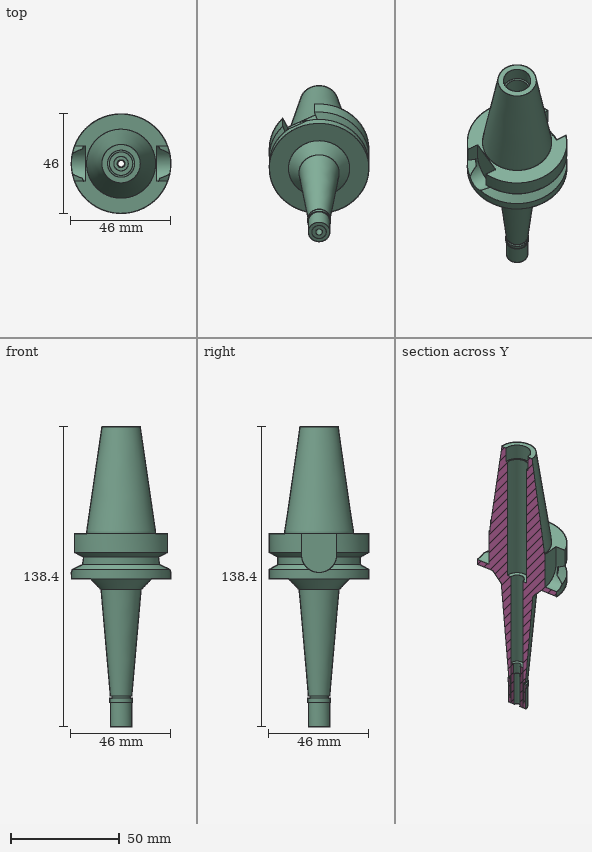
import cadquery as cq


total_length = 138.4
taper_length = 48.5
gauge_z = total_length - taper_length
flange_gap = 1.0
flange_top_z = gauge_z - flange_gap
groove_top_z = 80.4
groove_bottom_z = 72.5
flange_bottom_z = 68.2
neck_top_z = 63.2
holder_shoulder_z = 14.1

taper_large_radius = 15.9
taper_ratio = 7 / 24
taper_small_radius = taper_large_radius - taper_length * taper_ratio / 2
flange_radius = 23.0
groove_root_radius = 19.1
groove_flank_height = 2.2
shoulder_radius = 14.1
neck_top_radius = 9.3
neck_tip_radius = 5.0

slot_width = 16.2
slot_radius = slot_width / 2
slot_floor_x = 16.3
slot_bottom_z = 71.1
slot_center_z = slot_bottom_z + slot_radius

drawbolt_radius = 6.2
drawbolt_depth = 7.3
coolant_radius = 5.4
coolant_depth = 69.2

nut_height = 13.3
nut_radius = 5.0
collar_radius = 5.3
collar_height = 2.1
spigot_radius = 4.3
nut_floor = 2.8

collet_radius = 3.3
collet_length = 22.1
collet_bore_radius = 1.5
collet_relief_radius = 1.8
collet_grip_length = 16.6


def cylinder(radius, bottom_z, top_z):
    return cq.Workplane("XY").workplane(offset=bottom_z).circle(radius).extrude(top_z - bottom_z)


def holder_blank():
    """Revolved outside of the holder, from the spigot up to the small end of the taper."""
    profile = [
        (0, nut_floor),
        (spigot_radius, nut_floor),
        (spigot_radius, holder_shoulder_z),
        (neck_tip_radius, holder_shoulder_z),
        (neck_top_radius, neck_top_z),
        (shoulder_radius, flange_bottom_z),
        (flange_radius, flange_bottom_z),
        (flange_radius, groove_bottom_z),
        (groove_root_radius, groove_bottom_z + groove_flank_height),
        (groove_root_radius, groove_top_z - groove_flank_height),
        (flange_radius, groove_top_z),
        (flange_radius, flange_top_z),
        (taper_large_radius, flange_top_z),
        (taper_large_radius, gauge_z),
        (taper_small_radius, total_length),
        (0, total_length),
    ]
    return cq.Workplane("XZ").polyline(profile).close().revolve(360, (0, 0), (0, 1))


def drive_slot(side):
    """Round-bottomed cutter for one drive slot; side is +1 or -1 along X."""
    return (
        cq.Workplane("YZ")
        .workplane(offset=side * slot_floor_x)
        .moveTo(-slot_radius, flange_top_z)
        .lineTo(-slot_radius, slot_center_z)
        .threePointArc((0, slot_bottom_z), (slot_radius, slot_center_z))
        .lineTo(slot_radius, flange_top_z)
        .close()
        .extrude(side * (flange_radius - slot_floor_x))
    )


def make_holder():
    holder = holder_blank()
    for side in (-1, 1):
        holder = holder.cut(drive_slot(side))
    holder = holder.cut(cylinder(drawbolt_radius, total_length - drawbolt_depth, total_length))
    holder = holder.cut(cylinder(coolant_radius, total_length - coolant_depth, total_length))
    return holder.cut(cylinder(collet_radius, 0, total_length))


def make_nut():
    """Sleeve with a raised collar at its top, recessed to take the spigot of the holder."""
    nut = cylinder(nut_radius, 0, nut_height)
    nut = nut.union(cylinder(collar_radius, nut_height - collar_height, nut_height))
    nut = nut.cut(cylinder(spigot_radius, nut_floor, nut_height))
    return nut.cut(cylinder(collet_radius, 0, nut_height))


def make_collet():
    """Sleeve inside the holder tip, flush with the front face of the nut."""
    collet = cylinder(collet_radius, 0, collet_length)
    collet = collet.cut(cylinder(collet_bore_radius, 0, collet_grip_length))
    return collet.cut(cylinder(collet_relief_radius, collet_grip_length, collet_length))


holder = make_holder()
nut = make_nut()
collet = make_collet()

result = cq.Compound.makeCompound([holder.val(), nut.val(), collet.val()])